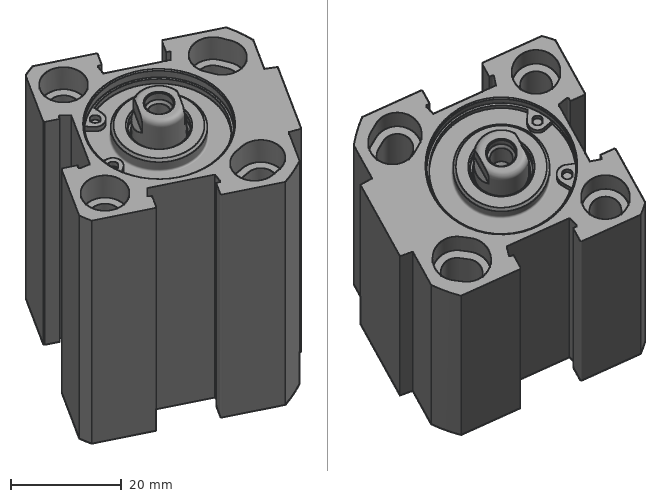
import cadquery as cq
import math

width = 40.0
half_width = width / 2
shoulder_y = 22.0
corner_radius = 27.0
housing_height = 58.5
total_height = 64.0
total_depth = 44.5

pad_top_y = total_depth - half_width
pad_base_half_width = 8.2
pad_top_half_width = 8.0

side_slot_floor = 14.85
front_slot_floor = 14.7
slot_lip_thickness = 3.1
slot_mouth_half_width = 6.0
slot_undercut_half_width = 6.9
slot_floor_half_width = 6.35
slot_undercut_radius = 0.25
side_slot_edge_radius = 0.3
front_slot_edge_chamfer = 0.2

hole_offset = 14.0
hole_diameter = 5.8
counterbore_diameter = 8.8
counterbore_depth = 5.8
slotted_hole_run_x = 1.0
slotted_hole_run_y = 1.5

recess_diameter = 27.0
recess_edge_chamfer = 0.25
groove_diameter = 28.4
groove_inset = 1.9
groove_width = 1.2
recess_depth = groove_inset + groove_width
recess_floor_z = housing_height - recess_depth

ring_inner_diameter = 26.1
lug_x = 6.0
lug_y = -10.3
lug_radius = 1.9
lug_hole_diameter = 2.0
lug_gap_edge_angle = -72
lug_band_edge_angle = -30

cover_thickness = 8.0
cover_bottom_z = recess_floor_z - cover_thickness
boss_diameter = 17.5
boss_top_z = housing_height - 0.3
boss_edge_chamfer = 0.5
boss_foot_radius = 0.4
wiper_diameter = 11.4
wiper_edge_chamfer = 0.3
wiper_depth = 1.6
clearance_diameter = 10.5
clearance_depth = 2.55

rod_diameter = 10.0
rod_edge_radius = 1.2
across_flats = 8.0
flat_length = 3.65
thread_diameter = 4.15
thread_recess_diameter = 5.25
thread_recess_depth = 1.85
thread_recess_chamfer = 0.2
thread_depth = 8.0
drill_tip_angle = 118


def level(z):
    """Horizontal workplane at height z."""
    return cq.Workplane("XY").workplane(offset=z)


def disc(diameter, bottom_z, height):
    """Cylinder on the Z axis."""
    return level(bottom_z).circle(diameter / 2).extrude(height)


def turned(profile):
    """Solid of revolution about Z from (radius, height) points."""
    return cq.Workplane("XZ").polyline(profile).close().revolve(360, (0, 0, 0), (0, 1, 0))


def sensor_slot(floor):
    """Undercut slot that opens towards -Y."""
    lip_y = -half_width + slot_lip_thickness
    right_half = [
        (slot_mouth_half_width, -half_width),
        (slot_mouth_half_width, lip_y),
        (slot_undercut_half_width, lip_y),
        (slot_floor_half_width, -floor),
    ]
    left_half = [(-x, y) for x, y in reversed(right_half)]
    slot = cq.Workplane("XY").polyline(right_half + left_half).close().extrude(housing_height)
    return slot.edges("|Z").edges("<X or >X").fillet(slot_undercut_radius)


def stretched_cylinder(x, y, run_x, run_y, diameter, bottom_z):
    """Upright cylinder at (x, y), swept along (run_x, run_y), up to the top of the housing."""
    height = housing_height - bottom_z
    run = math.hypot(run_x, run_y)
    start = level(bottom_z).center(x, y)
    if run == 0:
        return start.circle(diameter / 2).extrude(height)
    angle = math.degrees(math.atan2(run_y, run_x))
    middle = start.center(run_x / 2, run_y / 2)
    return middle.slot2D(run + diameter, diameter, angle).extrude(height)


def mounting_hole(x, y, run_x=0, run_y=0):
    """Through hole with a counterbore at the top."""
    hole = stretched_cylinder(x, y, run_x, run_y, hole_diameter, 0)
    counterbore_z = housing_height - counterbore_depth
    return hole.union(stretched_cylinder(x, y, run_x, run_y, counterbore_diameter, counterbore_z))


def housing_blank():
    """Extruded outline with the pad on +Y and its corners turned to one radius."""
    right_half = [
        (half_width, -half_width),
        (half_width, shoulder_y),
        (pad_base_half_width, shoulder_y),
        (pad_top_half_width, pad_top_y),
    ]
    left_half = [(-x, y) for x, y in reversed(right_half)]
    blank = cq.Workplane("XY").polyline(right_half + left_half).close().extrude(housing_height)
    return blank.intersect(disc(2 * corner_radius, 0, housing_height))


def slot_mouth_edges(body, face, reach_x, reach_y):
    """Vertical edges on an outer face, within the given reach from the Z axis."""
    mouth = cq.selectors.BoxSelector((-reach_x, -reach_y, 0), (reach_x, reach_y, housing_height))
    return body.faces(face).edges("|Z").edges(mouth)


def build_housing():
    body = housing_blank()
    body = body.cut(sensor_slot(front_slot_floor))
    for turn in (-90, 90):
        body = body.cut(sensor_slot(side_slot_floor).rotate((0, 0, 0), (0, 0, 1), turn))
    near_slot = slot_undercut_half_width
    front_edges = slot_mouth_edges(body, "<Y", near_slot, width)
    body = front_edges.chamfer(front_slot_edge_chamfer)
    for face in ("<X", ">X"):
        body = slot_mouth_edges(body, face, width, near_slot).fillet(side_slot_edge_radius)
    for side in (-1, 1):
        body = body.cut(mounting_hole(side * hole_offset, -hole_offset))
        body = body.cut(
            mounting_hole(side * hole_offset, hole_offset, -side * slotted_hole_run_x, slotted_hole_run_y)
        )
    body = body.cut(disc(recess_diameter, cover_bottom_z, housing_height - cover_bottom_z))
    body = body.cut(disc(groove_diameter, recess_floor_z, groove_width))
    recess_radius = recess_diameter / 2
    body = body.cut(turned([
        (0, housing_height),
        (recess_radius + recess_edge_chamfer, housing_height),
        (recess_radius, housing_height - recess_edge_chamfer),
        (0, housing_height - recess_edge_chamfer),
    ]))
    body = body.cut(disc(recess_diameter, 0, recess_depth))
    return body.cut(disc(groove_diameter, groove_inset, groove_width))


def build_cover():
    plug = disc(recess_diameter, cover_bottom_z, cover_thickness)
    boss = disc(boss_diameter, recess_floor_z, boss_top_z - recess_floor_z)
    cover = plug.union(boss.faces(">Z").edges().chamfer(boss_edge_chamfer))
    plug_face = cover.faces("|Z").faces(">Z[-2]")
    cover = plug_face.edges(cq.selectors.RadiusNthSelector(0)).fillet(boss_foot_radius)
    rod_radius = rod_diameter / 2
    wiper_radius = wiper_diameter / 2
    clearance_radius = clearance_diameter / 2
    wiper_floor_z = boss_top_z - wiper_depth
    rod_hole = turned([
        (0, boss_top_z),
        (wiper_radius + wiper_edge_chamfer, boss_top_z),
        (wiper_radius, boss_top_z - wiper_edge_chamfer),
        (wiper_radius, wiper_floor_z),
        (clearance_radius, wiper_floor_z - (wiper_radius - clearance_radius)),
        (clearance_radius, boss_top_z - clearance_depth),
        (rod_radius, boss_top_z - clearance_depth),
        (rod_radius, cover_bottom_z),
        (0, cover_bottom_z),
    ])
    return cover.cut(rod_hole)


def lug_flank(edge_angle, normal_angle):
    """Straight flank leaving the round lug tip tangentially: its inner and outer end points."""
    along = math.radians(edge_angle)
    normal = math.radians(normal_angle)
    length = groove_diameter / 2
    x = lug_x + lug_radius * math.cos(normal)
    y = lug_y + lug_radius * math.sin(normal)
    return (x, y), (x + length * math.cos(along), y + length * math.sin(along))


def ring_lug(side):
    """Round lug whose straight flanks widen it out to the ring."""
    gap_inner, gap_outer = lug_flank(lug_gap_edge_angle, lug_gap_edge_angle - 90)
    band_inner, band_outer = lug_flank(lug_band_edge_angle, lug_band_edge_angle + 90)
    outline = [(side * x, y) for x, y in (gap_inner, gap_outer, band_outer, band_inner)]
    wedge = level(recess_floor_z).polyline(outline).close().extrude(groove_width)
    tip = level(recess_floor_z).center(side * lug_x, lug_y).circle(lug_radius).extrude(groove_width)
    return wedge.union(tip).intersect(disc(groove_diameter, recess_floor_z, groove_width))


def build_ring():
    ring = disc(groove_diameter, recess_floor_z, groove_width)
    ring = ring.cut(disc(ring_inner_diameter, recess_floor_z, groove_width))
    gap_corners = [(0, 0), (2 * lug_x, 2 * lug_y), (-2 * lug_x, 2 * lug_y)]
    ring = ring.cut(level(recess_floor_z).polyline(gap_corners).close().extrude(groove_width))
    for side in (-1, 1):
        ring = ring.union(ring_lug(side))
    lug_holes = level(recess_floor_z).pushPoints([(-lug_x, lug_y), (lug_x, lug_y)])
    return ring.cut(lug_holes.circle(lug_hole_diameter / 2).extrude(groove_width))


def wrench_flat(side):
    """Cutter for one wrench flat, with a 45 degree run-out at its lower end."""
    rod_radius = rod_diameter / 2
    flat_y = across_flats / 2
    flat_end_z = total_height - flat_length
    profile = [
        (side * flat_y, total_height),
        (side * flat_y, flat_end_z),
        (side * (flat_y + rod_radius), flat_end_z - rod_radius),
        (side * (flat_y + rod_radius), total_height),
    ]
    return cq.Workplane("YZ").polyline(profile).close().extrude(rod_radius, both=True)


def thread_hole():
    """Recessed blind thread hole with a drill-point end."""
    thread_radius = thread_diameter / 2
    recess_radius = thread_recess_diameter / 2
    recess_end_z = total_height - thread_recess_depth
    thread_end_z = total_height - thread_depth
    tip_length = thread_radius / math.tan(math.radians(drill_tip_angle / 2))
    return turned([
        (0, total_height),
        (recess_radius + thread_recess_chamfer, total_height),
        (recess_radius, total_height - thread_recess_chamfer),
        (recess_radius, recess_end_z),
        (thread_radius, recess_end_z - (recess_radius - thread_radius)),
        (thread_radius, thread_end_z),
        (0, thread_end_z - tip_length),
    ])


def build_rod():
    rod = disc(rod_diameter, cover_bottom_z, total_height - cover_bottom_z)
    rod = rod.faces(">Z").edges().fillet(rod_edge_radius)
    for side in (-1, 1):
        rod = rod.cut(wrench_flat(side))
    return rod.cut(thread_hole())


housing = build_housing()
rod_cover = build_cover()
retaining_ring = build_ring()
piston_rod = build_rod()

result = cq.Compound.makeCompound([
    housing.val(),
    rod_cover.val(),
    retaining_ring.val(),
    piston_rod.val(),
])